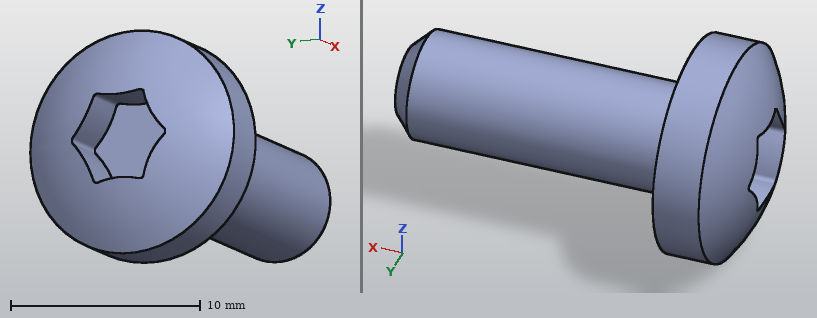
import cadquery as cq
import math

total_length = 20.35
head_radius = 6.0
head_height = 4.33
dome_radius = 10.0
shank_radius = 3.0
underhead_fillet = 0.25
end_chamfer = 1.02

lobe_count = 6
recess_tip_radius = 2.75
recess_valley_radius = 2.25
recess_tip_fillet = 0.25
recess_depth = 2.85


def dome_sag(radius):
    """Axial drop of the dome from its apex at a given distance from the axis."""
    return dome_radius - math.sqrt(dome_radius**2 - radius**2)


dome_apex_x = -dome_sag(recess_valley_radius)
dome_rim_x = dome_apex_x + dome_sag(head_radius)


def polar(radius, angle):
    return (radius * math.cos(angle), radius * math.sin(angle))


def make_body():
    """Revolve the half section of head and shank about the X axis."""
    mid_radius = head_radius / 2
    dome_mid = (dome_apex_x + dome_sag(mid_radius), mid_radius)
    fillet_center = (head_height + underhead_fillet, shank_radius + underhead_fillet)
    fillet_offset = underhead_fillet * math.sqrt(0.5)
    fillet_mid = (fillet_center[0] - fillet_offset, fillet_center[1] - fillet_offset)
    return (
        cq.Workplane("XY")
        .moveTo(dome_apex_x, 0)
        .threePointArc(dome_mid, (dome_rim_x, head_radius))
        .lineTo(head_height, head_radius)
        .lineTo(head_height, fillet_center[1])
        .threePointArc(fillet_mid, (fillet_center[0], shank_radius))
        .lineTo(total_length - end_chamfer, shank_radius)
        .lineTo(total_length, shank_radius - end_chamfer)
        .lineTo(total_length, 0)
        .close()
        .revolve(360, (0, 0, 0), (1, 0, 0))
    )


def make_recess():
    """Six inward-bulging arcs joined by small tangent arcs at the lobe tips."""
    half_pitch = math.pi / lobe_count
    tip_center = recess_tip_radius - recess_tip_fillet

    center_projection = tip_center * math.cos(half_pitch)
    valley_arc_radius = (
        recess_valley_radius**2
        + tip_center**2
        - 2 * recess_valley_radius * center_projection
        - recess_tip_fillet**2
    ) / (2 * (center_projection + recess_tip_fillet - recess_valley_radius))
    valley_center = polar(recess_valley_radius + valley_arc_radius, half_pitch)

    fraction = recess_tip_fillet / (recess_tip_fillet + valley_arc_radius)
    tangent_x = tip_center + fraction * (valley_center[0] - tip_center)
    tangent_y = fraction * valley_center[1]
    tangent_radius = math.hypot(tangent_x, tangent_y)
    tangent_angle = math.atan2(tangent_y, tangent_x)

    profile = cq.Workplane("YZ", origin=(dome_apex_x, 0, 0)).moveTo(*polar(tangent_radius, -tangent_angle))
    for lobe in range(lobe_count):
        tip_angle = 2 * half_pitch * lobe
        valley_angle = tip_angle + half_pitch
        next_start_angle = tip_angle + 2 * half_pitch - tangent_angle
        profile = profile.threePointArc(
            polar(recess_tip_radius, tip_angle), polar(tangent_radius, tip_angle + tangent_angle)
        ).threePointArc(polar(recess_valley_radius, valley_angle), polar(tangent_radius, next_start_angle))
    return profile.close().extrude(recess_depth - dome_apex_x)


result = make_body().cut(make_recess())